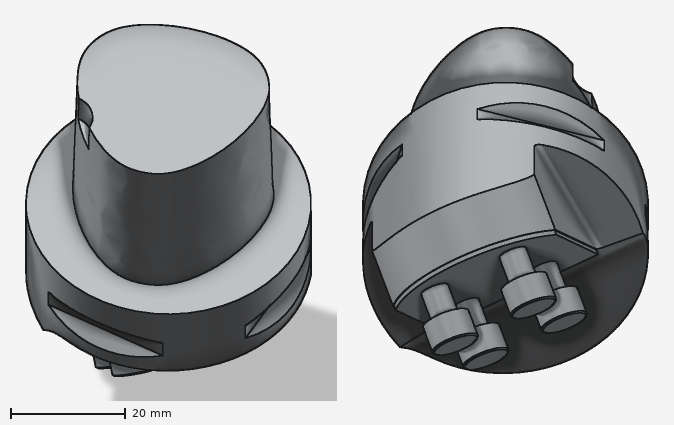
import cadquery as cq
import math

body_diameter = 50.0
body_radius = body_diameter / 2
shank_height = 30.05
body_depth = 47.8

shank_radius = 17.6
lobe_height = 1.2
lobe_sharpness = 0.12
shank_taper = 0.8
profile_points = 36

notch_radius = 4.95
notch_depth = 5.7
notch_reach = 13.95

groove_floor = 22.15
groove_floor_width = 3.4
groove_middle_z = -9.9
groove_side_angle = 32
groove_angles = (45, 135, 225, 315)

seat_distance = 18.65
underside_edge_z = -15.8
underside_slope = 0.06
underside_fillet = 8.4

neck_width = 32.45
neck_half_width = neck_width / 2
shoulder_z = -19.7
shoulder_slope_x = -0.12
shoulder_slope_y = 0.27
shoulder_fillet = 1.3
nose_radius = 18.5
nose_reach = 44.4
nose_free_depth = 25.0

plate_thickness = 0.9
plate_inset = 0.15
plate_start = 13.2
screw_diameter = 5.0
screw_head_diameter = 8.5
screw_head_height = 5.1
screw_head_base = 25.3
screw_head_chamfer = 0.27
screw_half_gap = 7.8
screw_rows = (20.1, 35.9)
screw_overlap = 1.6

clearance = 79.7


def seat_plane(distance):
    """Plane parallel to the seat: local X runs down the seat, local Z is its outward normal."""
    down_seat = cq.Vector(-1, 0, -1).normalized()
    normal = cq.Vector(1, 0, -1).normalized()
    return cq.Plane(origin=(normal * distance).toTuple(), xDir=down_seat.toTuple(), normal=normal.toTuple())


def shank_profile(mean_radius):
    """Rounded three-lobed outline, with one lobe toward +Y."""
    points = []
    for i in range(profile_points):
        turn = 2 * math.pi * i / profile_points
        reach = mean_radius + lobe_height * math.cos(3 * turn) - lobe_sharpness * math.cos(6 * turn)
        change = -3 * lobe_height * math.sin(3 * turn) + 6 * lobe_sharpness * math.sin(6 * turn)
        lobe_axis = reach * math.cos(turn) - change * math.sin(turn)
        across = reach * math.sin(turn) + change * math.cos(turn)
        points.append((-across, lobe_axis))
    return points


def make_shank():
    shank = (
        cq.Workplane("XY")
        .spline(shank_profile(shank_radius), periodic=True).close()
        .workplane(offset=shank_height)
        .spline(shank_profile(shank_radius - shank_taper), periodic=True).close()
        .loft(ruled=True)
    )
    notch = (
        cq.Workplane("XY", origin=(0, -notch_reach - notch_radius, shank_height - notch_depth))
        .circle(notch_radius)
        .extrude(clearance)
    )
    return shank.cut(notch)


def make_underside_cut():
    """Space below the flange on the +X side, in front of the tilted seat."""
    seat_offset = seat_distance * math.sqrt(2)
    corner_x = (seat_offset + underside_edge_z - underside_slope * body_radius) / (1 - underside_slope)
    corner_z = corner_x - seat_offset
    far_z = underside_edge_z + underside_slope * (clearance - body_radius)
    return (
        cq.Workplane("XZ")
        .moveTo(corner_x, corner_z)
        .lineTo(clearance, far_z)
        .lineTo(clearance, -clearance)
        .lineTo(seat_offset - clearance, -clearance)
        .close()
        .extrude(clearance, both=True)
        .edges(cq.selectors.NearestToPointSelector((corner_x, 0, corner_z)))
        .fillet(underside_fillet)
    )


def make_shoulder_cut():
    """Space beside the neck on the +Y side, below the sloping shoulder."""
    def shoulder(x, y):
        return shoulder_z + shoulder_slope_x * x + shoulder_slope_y * (y - body_radius)

    half_length = 2 * body_radius
    outer = 2 * body_radius

    def section(x):
        return cq.Wire.makePolygon([
            cq.Vector(x, neck_half_width, shoulder(x, neck_half_width)),
            cq.Vector(x, outer, shoulder(x, outer)),
            cq.Vector(x, outer, -clearance),
            cq.Vector(x, neck_half_width, -clearance),
        ], close=True)

    space = cq.Workplane(cq.Solid.makeLoft([section(-half_length), section(half_length)], True))
    inner_edge = (0, neck_half_width, shoulder(0, neck_half_width))
    return space.edges(cq.selectors.NearestToPointSelector(inner_edge)).fillet(shoulder_fillet)


def make_nose(start, distance, length, inset=0.0):
    """Round-ended bar standing on the seat direction; it bounds the lower end of the neck."""
    half_width = neck_half_width - inset
    radius = nose_radius - inset
    tip = nose_reach - inset
    shoulder = nose_reach - nose_radius + math.sqrt(radius ** 2 - half_width ** 2)
    return (
        cq.Workplane(seat_plane(distance))
        .moveTo(start, -half_width)
        .lineTo(shoulder, -half_width)
        .threePointArc((tip, 0), (shoulder, half_width))
        .lineTo(start, half_width)
        .close()
        .extrude(length)
    )


def make_body():
    body = cq.Workplane("XY").circle(body_radius).extrude(-body_depth)
    body = body.cut(make_underside_cut())
    shoulder_cut = make_shoulder_cut()
    body = body.cut(shoulder_cut).cut(shoulder_cut.mirror("XZ"))
    upper = cq.Workplane("XY").circle(clearance).extrude(-nose_free_depth)
    keep = upper.union(make_nose(-clearance, -clearance, 2 * clearance))
    return body.intersect(keep)


def make_groove(angle):
    depth = body_radius - groove_floor
    half_floor = groove_floor_width / 2
    half_mouth = half_floor + depth * math.tan(math.radians(groove_side_angle))
    return (
        cq.Workplane("XZ")
        .moveTo(groove_floor, groove_middle_z - half_floor)
        .lineTo(body_radius, groove_middle_z - half_mouth)
        .lineTo(body_radius, groove_middle_z + half_mouth)
        .lineTo(groove_floor, groove_middle_z + half_floor)
        .close()
        .extrude(body_radius, both=True)
        .rotate((0, 0, 0), (0, 0, 1), angle)
    )


def make_screws():
    centres = [(row, side * screw_half_gap) for row in screw_rows for side in (-1, 1)]
    sunk_end = seat_distance - screw_overlap
    stems = (
        cq.Workplane(seat_plane(sunk_end))
        .pushPoints(centres)
        .circle(screw_diameter / 2)
        .extrude(screw_head_base - sunk_end)
    )
    heads = (
        cq.Workplane(seat_plane(screw_head_base))
        .pushPoints(centres)
        .circle(screw_head_diameter / 2)
        .extrude(screw_head_height)
        .faces(cq.selectors.DirectionMinMaxSelector(cq.Vector(1, 0, -1), True))
        .edges()
        .chamfer(screw_head_chamfer)
    )
    return stems.union(heads)


body = make_body()
for groove_angle in groove_angles:
    body = body.cut(make_groove(groove_angle))

plate = make_nose(plate_start, seat_distance, plate_thickness, plate_inset)
result = body.union(make_shank()).union(plate).union(make_screws())